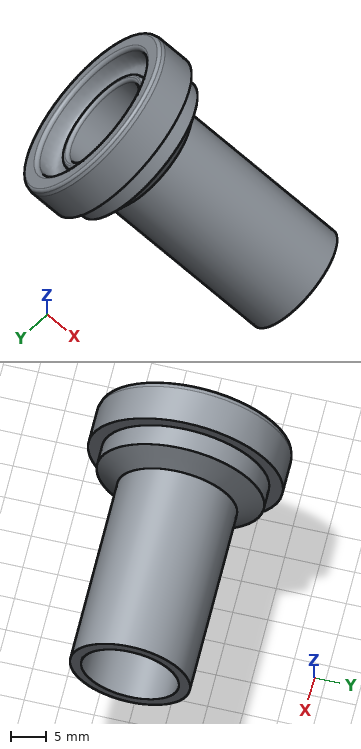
import cadquery as cq
import math

LENGTH = 39
FLANGE_END = 6.0
COLLAR_END = 9.0
TAPER_START = 0.9

FLANGE_R = 27.9 / 2
COLLAR_R = 24.0 / 2
TUBE_R = 17.2 / 2
BORE_R = 14.0 / 2

RIM_ANGLE = math.radians(15)
RIM_ROUND = 0.5
SHOULDER_ANGLE = math.radians(30)

RECESS_R = 10.95
MOUTH_ROUND = 0.6
RECESS_DEPTH = 3.3
RECESS_DEEPEST_R = 9.1

LIP_X = 2.1
LIP_R = 8.2
LIP_OUTER_ROUND = 0.4
LIP_BORE_ROUND = 0.5


def arc_middle(x, r, radius, degrees):
    """Point at the given angle on a circle centred at (x, r)."""
    angle = math.radians(degrees)
    return x + radius * math.cos(angle), r + radius * math.sin(angle)


cone_end = COLLAR_END + (COLLAR_R - TUBE_R) * math.tan(SHOULDER_ANGLE)

rim_round_end_x = RIM_ROUND * (1 - math.sin(RIM_ANGLE))
rim_round_end_r = FLANGE_R - (TAPER_START - rim_round_end_x) * math.tan(RIM_ANGLE)
face_r = rim_round_end_r - RIM_ROUND * math.cos(RIM_ANGLE)
rim_middle_degrees = (180 + 90 + math.degrees(RIM_ANGLE)) / 2

mouth_r = RECESS_R + MOUTH_ROUND
lip_outer_x = LIP_X + LIP_OUTER_ROUND
lip_bore_x = LIP_X + LIP_BORE_ROUND
lip_outer_center_r = LIP_R - LIP_OUTER_ROUND
lip_bore_center_r = BORE_R + LIP_BORE_ROUND

profile = (
    cq.Workplane("XY")
    .moveTo(0, face_r)
    .threePointArc(
        arc_middle(RIM_ROUND, face_r, RIM_ROUND, rim_middle_degrees),
        (rim_round_end_x, rim_round_end_r),
    )
    .lineTo(TAPER_START, FLANGE_R)
    .lineTo(FLANGE_END, FLANGE_R)
    .lineTo(FLANGE_END, COLLAR_R)
    .lineTo(COLLAR_END, COLLAR_R)
    .lineTo(cone_end, TUBE_R)
    .lineTo(LENGTH, TUBE_R)
    .lineTo(LENGTH, BORE_R)
    .lineTo(lip_bore_x, BORE_R)
    .threePointArc(
        arc_middle(lip_bore_x, lip_bore_center_r, LIP_BORE_ROUND, 225),
        (LIP_X, lip_bore_center_r),
    )
    .lineTo(LIP_X, lip_outer_center_r)
    .threePointArc(
        arc_middle(lip_outer_x, lip_outer_center_r, LIP_OUTER_ROUND, 135),
        (lip_outer_x, LIP_R),
    )
    .spline(
        [(RECESS_DEPTH, RECESS_DEEPEST_R), (MOUTH_ROUND, RECESS_R)],
        tangents=[(1, 0), (-1, 0)],
        includeCurrent=True,
    )
    .threePointArc(
        arc_middle(MOUTH_ROUND, mouth_r, MOUTH_ROUND, 225),
        (0, mouth_r),
    )
    .close()
)

result = profile.revolve(360, (0, 0, 0), (1, 0, 0))